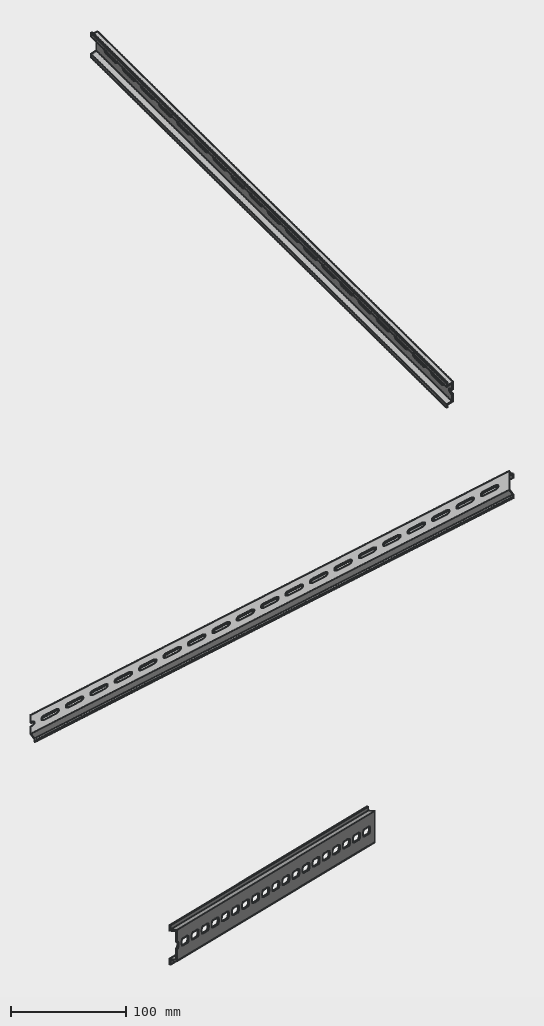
import cadquery as cq

length = 490.0
depth = 7.5
height = 35.0
thickness = 1.5
channel_height = 28.0

slot_length = 18.0
slot_width = 6.5
slot_pitch = 25.0
first_slot_center = 20.0
slot_count = 20


def make_rail():
    """Extrude the hat section, centred on the origin, along X."""
    front = -depth / 2
    back = depth / 2
    lip_edge = height / 2
    outer = channel_height / 2
    inner = outer - thickness
    upper_half = [
        (back, outer),
        (front + thickness, outer),
        (front + thickness, lip_edge),
        (front, lip_edge),
        (front, inner),
        (back - thickness, inner),
    ]
    lower_half = [(y, -z) for y, z in reversed(upper_half)]
    section = cq.Workplane("YZ").polyline(upper_half + lower_half).close()
    return section.extrude(length / 2, both=True)


def make_slots():
    """Obround cutters lined up along the middle of the web."""
    first_x = first_slot_center - length / 2
    centers = [(first_x + i * slot_pitch, 0) for i in range(slot_count)]
    slots = cq.Workplane("XZ").pushPoints(centers).slot2D(slot_length, slot_width)
    return slots.extrude(depth, both=True)


result = make_rail().cut(make_slots())